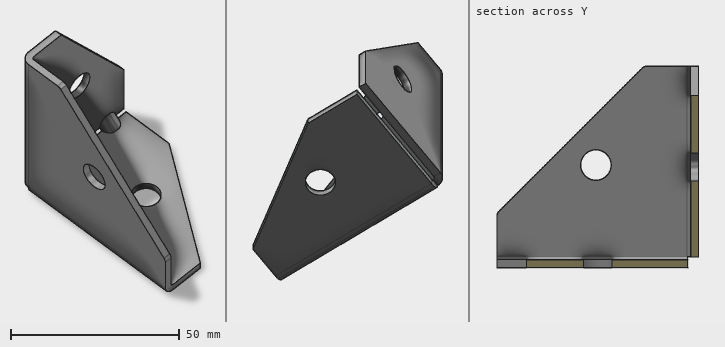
import cadquery as cq
import math

length = 60.0
depth = 42.0
thickness = 2.4
inner_bend_radius = 1.0
outer_bend_radius = inner_bend_radius + thickness

web_end_width = 16.2
web_corner_radius = 2
flange_end_depth = 15.0
flange_tip_length = 21.0

flange_start = 3.2

hole_diameter = 9.0
web_hole_position = 30.55
flange_hole_position = 30.0
flange_hole_depth = 22.8

weld_center_depth = 35.0
weld_length = 7.0
weld_flat_length = 1.3
weld_leg_end = 6.2

symmetry_normal = cq.Vector(1, 0, -1)


def make_web():
    """Flat web between the two bends, with its sloped edge and hole."""
    web = (
        cq.Workplane("XZ")
        .moveTo(outer_bend_radius, outer_bend_radius)
        .lineTo(length, outer_bend_radius)
        .lineTo(length, web_end_width)
        .lineTo(web_end_width, length)
        .lineTo(outer_bend_radius, length)
        .close()
        .extrude(-thickness)
    )
    low = web_end_width - web_corner_radius
    high = length + web_corner_radius
    slope_corners = cq.selectors.BoxSelector(
        (low, 0, low),
        (high, thickness, high),
    )
    web = web.edges("|Y").edges(slope_corners).fillet(web_corner_radius)
    hole = (
        cq.Workplane("XZ")
        .center(web_hole_position, web_hole_position)
        .circle(hole_diameter / 2)
        .extrude(-thickness)
    )
    return web.cut(hole)


def make_side_flange():
    """Side flange at x = 0 together with the bend that joins it to the web."""
    diagonal = math.sqrt(0.5)
    outer_mid = outer_bend_radius - outer_bend_radius * diagonal
    inner_mid = outer_bend_radius - inner_bend_radius * diagonal
    flange = (
        cq.Workplane("XY", origin=(0, 0, flange_start))
        .moveTo(outer_bend_radius, 0)
        .threePointArc((outer_mid, outer_mid), (0, outer_bend_radius))
        .lineTo(0, depth)
        .lineTo(thickness, depth)
        .lineTo(thickness, outer_bend_radius)
        .threePointArc((inner_mid, inner_mid), (outer_bend_radius, thickness))
        .close()
        .extrude(length - flange_start)
    )
    slope = (
        cq.Workplane("YZ")
        .polyline([(flange_end_depth, length), (depth, length), (depth, flange_tip_length)])
        .close()
        .extrude(thickness)
    )
    bend_relief = (
        cq.Workplane("YZ")
        .polyline([(0, flange_start), (0, outer_bend_radius), (outer_bend_radius, flange_start)])
        .close()
        .extrude(outer_bend_radius)
    )
    hole = (
        cq.Workplane("YZ")
        .center(flange_hole_depth, flange_hole_position)
        .circle(hole_diameter / 2)
        .extrude(thickness)
    )
    return flange.cut(slope).cut(bend_relief).cut(hole)


def make_weld():
    """Weld bead running diagonally from the bottom flange up to the side flange."""
    root = (thickness + flange_start) / math.sqrt(2)
    crest = (thickness + weld_leg_end) / math.sqrt(2)
    section_plane = cq.Plane(
        origin=(0, weld_center_depth, 0),
        xDir=(0, 1, 0),
        normal=symmetry_normal.toTuple(),
    )
    bead = (
        cq.Workplane(section_plane)
        .moveTo(0, crest)
        .lineTo(weld_flat_length / 2, crest)
        .tangentArcPoint((weld_length / 2, root), relative=False)
        .lineTo(0, root)
        .mirrorY()
        .extrude(weld_leg_end, both=True)
    )
    space_between_flanges = cq.Workplane("XY").box(length, depth, length, centered=False)
    space_between_flanges = space_between_flanges.translate((thickness, 0, thickness))
    return bead.intersect(space_between_flanges)


side_flange = make_side_flange()
bottom_flange = side_flange.mirror(symmetry_normal)
result = make_web().union(side_flange).union(bottom_flange).union(make_weld())